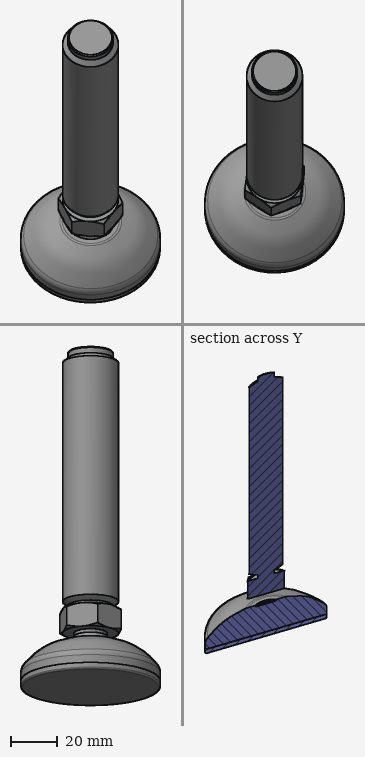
import cadquery as cq
import math

total_height = 149.2
foot_diameter = 60.0
foot_radius = foot_diameter / 2

pad_height = 2.7
pad_edge_fillet = 0.7

shoulder_start_z = 6.3
shoulder_end_z = 9.1
shoulder_end_radius = 28.8
dome_middle_radius = 21.6
dome_middle_z = 15.7
dome_rim_radius = 13.3
dome_rim_z = 19.2
foot_top_radius = 12.2
foot_top_z = 19.4
recess_diameter = 20.3
recess_depth = 0.7

flare_base_diameter = 19.2
flare_top_z = 22.5
neck_diameter = 14.3
hex_bottom_z = 24.0
hex_height = 10.5
hex_across_flats = 24.0
hex_chamfer_angle = 30.0
undercut_diameter = 19.5
undercut_height = 1.6
rod_diameter = 24.0
rod_chamfer_height = 2.0
tip_height = 3.0
tip_face_diameter = 18.4

recess_floor_z = foot_top_z - recess_depth
hex_top_z = hex_bottom_z + hex_height
hex_corner_radius = hex_across_flats / 2 / math.cos(math.radians(30))


def revolve_profile(profile):
    """Turn a closed radius-height outline around the vertical axis."""
    return profile.close().revolve(360, (0, 0, 0), (0, 1, 0))


def make_pad():
    disc = cq.Workplane("XY").circle(foot_radius).extrude(pad_height)
    return disc.faces("<Z").edges().fillet(pad_edge_fillet)


def make_foot():
    """Dome with a rounded shoulder and a shallow recess on top that seats the spindle."""
    profile = (
        cq.Workplane("XZ")
        .moveTo(0, pad_height)
        .lineTo(foot_radius, pad_height)
        .lineTo(foot_radius, shoulder_start_z)
        .tangentArcPoint((shoulder_end_radius, shoulder_end_z), relative=False)
        .threePointArc((dome_middle_radius, dome_middle_z), (dome_rim_radius, dome_rim_z))
        .lineTo(foot_top_radius, foot_top_z)
        .lineTo(recess_diameter / 2, foot_top_z)
        .lineTo(recess_diameter / 2, recess_floor_z)
        .lineTo(0, recess_floor_z)
    )
    return revolve_profile(profile)


def make_hexagon():
    """Hexagon along Z with corners on X, its corners turned off by cones at both ends."""
    prism = (
        cq.Workplane("XY", origin=(0, 0, hex_bottom_z))
        .polygon(6, 2 * hex_corner_radius)
        .extrude(hex_height)
    )
    face_radius = hex_across_flats / 2
    chamfer_height = (hex_corner_radius - face_radius) * math.tan(math.radians(hex_chamfer_angle))
    envelope = revolve_profile(
        cq.Workplane("XZ")
        .moveTo(0, hex_bottom_z)
        .lineTo(face_radius, hex_bottom_z)
        .lineTo(hex_corner_radius, hex_bottom_z + chamfer_height)
        .lineTo(hex_corner_radius, hex_top_z - chamfer_height)
        .lineTo(face_radius, hex_top_z)
        .lineTo(0, hex_top_z)
    )
    return prism.intersect(envelope)


def make_spindle():
    neck_radius = neck_diameter / 2
    undercut_radius = undercut_diameter / 2
    rod_radius = rod_diameter / 2
    tip_face_radius = tip_face_diameter / 2
    tip_chamfer = undercut_radius - tip_face_radius
    rod_bottom_z = hex_top_z + undercut_height
    rod_top_z = total_height - tip_height
    neck = revolve_profile(
        cq.Workplane("XZ")
        .moveTo(0, recess_floor_z)
        .lineTo(flare_base_diameter / 2, recess_floor_z)
        .lineTo(neck_radius, flare_top_z)
        .lineTo(neck_radius, hex_bottom_z)
        .lineTo(0, hex_bottom_z)
    )
    rod = revolve_profile(
        cq.Workplane("XZ")
        .moveTo(0, hex_top_z)
        .lineTo(undercut_radius, hex_top_z)
        .lineTo(undercut_radius, rod_bottom_z)
        .lineTo(rod_radius, rod_bottom_z + rod_chamfer_height)
        .lineTo(rod_radius, rod_top_z - rod_chamfer_height)
        .lineTo(undercut_radius, rod_top_z)
        .lineTo(undercut_radius, total_height - tip_chamfer)
        .lineTo(tip_face_radius, total_height)
        .lineTo(0, total_height)
    )
    return neck.union(make_hexagon()).union(rod)


pad = make_pad()
foot = make_foot()
spindle = make_spindle()

result = cq.Compound.makeCompound([pad.val(), foot.val(), spindle.val()])